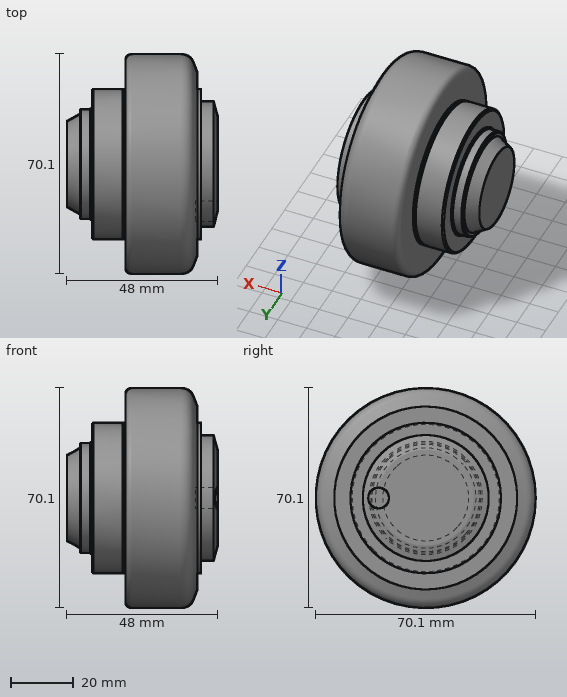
import cadquery as cq
import math

total_length = 48.0

nose_tip_radius = 13.7
nose_base_radius = 16.0
nose_length = 4.15

collar_radius = 17.5
collar_chamfer = 0.4
collar_flare_start = 7.4
collar_flare_radius = 18.0

hub_start = 7.9
hub_end = 42.7
hub_radius = 24.0
hub_chamfer = 0.55
groove_start = 17.7
groove_depth = 0.3
groove_width = 0.4

roller_start = 18.6
roller_end = 41.6
roller_radius = 35.05
roller_front_round = 2.1
shoulder_start = 36.45
shoulder_round = 4.15
shoulder_angle = math.radians(69)

boss_radius = 20.05
boss_face_radius = 15.3
boss_bevel_length = 1.3

hole_radius = 3.3
hole_center_y = -15.0
hole_depth = 7.0


def arc_point(start_x, radius, angle):
    """Point on a round leaving the roller rim, after turning by angle."""
    x = start_x + radius * math.sin(angle)
    r = roller_radius - radius * (1 - math.cos(angle))
    return x, r


def make_turned_body():
    """Revolve the half outline; sketch Y is the distance from the X axis."""
    front_arc_mid = arc_point(roller_start + roller_front_round, roller_front_round, -math.pi / 4)
    shoulder_mid = arc_point(shoulder_start, shoulder_round, shoulder_angle / 2)
    shoulder_tip = arc_point(shoulder_start, shoulder_round, shoulder_angle)
    back_radius = shoulder_tip[1] - (roller_end - shoulder_tip[0]) * math.tan(shoulder_angle)

    outline = (
        cq.Workplane("XY")
        .moveTo(0, 0)
        .lineTo(0, nose_tip_radius)
        .lineTo(nose_length, nose_base_radius)
        .lineTo(nose_length, collar_radius - collar_chamfer)
        .lineTo(nose_length + collar_chamfer, collar_radius)
        .lineTo(collar_flare_start, collar_radius)
        .lineTo(hub_start, collar_flare_radius)
        .lineTo(hub_start, hub_radius - hub_chamfer)
        .lineTo(hub_start + hub_chamfer, hub_radius)
        .lineTo(groove_start, hub_radius)
        .lineTo(groove_start, hub_radius - groove_depth)
        .lineTo(groove_start + groove_width, hub_radius - groove_depth)
        .lineTo(groove_start + groove_width, hub_radius)
        .lineTo(roller_start, hub_radius)
        .lineTo(roller_start, roller_radius - roller_front_round)
        .threePointArc(front_arc_mid, (roller_start + roller_front_round, roller_radius))
        .lineTo(shoulder_start, roller_radius)
        .threePointArc(shoulder_mid, shoulder_tip)
        .lineTo(roller_end, back_radius)
        .lineTo(roller_end, hub_radius)
        .lineTo(hub_end, hub_radius)
        .lineTo(hub_end, boss_radius)
        .lineTo(total_length - boss_bevel_length, boss_radius)
        .lineTo(total_length, boss_face_radius)
        .lineTo(total_length, 0)
        .close()
    )
    return outline.revolve(360, (0, 0, 0), (1, 0, 0))


def make_rear_hole():
    return (
        cq.Workplane("YZ", origin=(total_length - hole_depth, 0, 0))
        .center(hole_center_y, 0)
        .circle(hole_radius)
        .extrude(hole_depth)
    )


result = make_turned_body().cut(make_rear_hole())